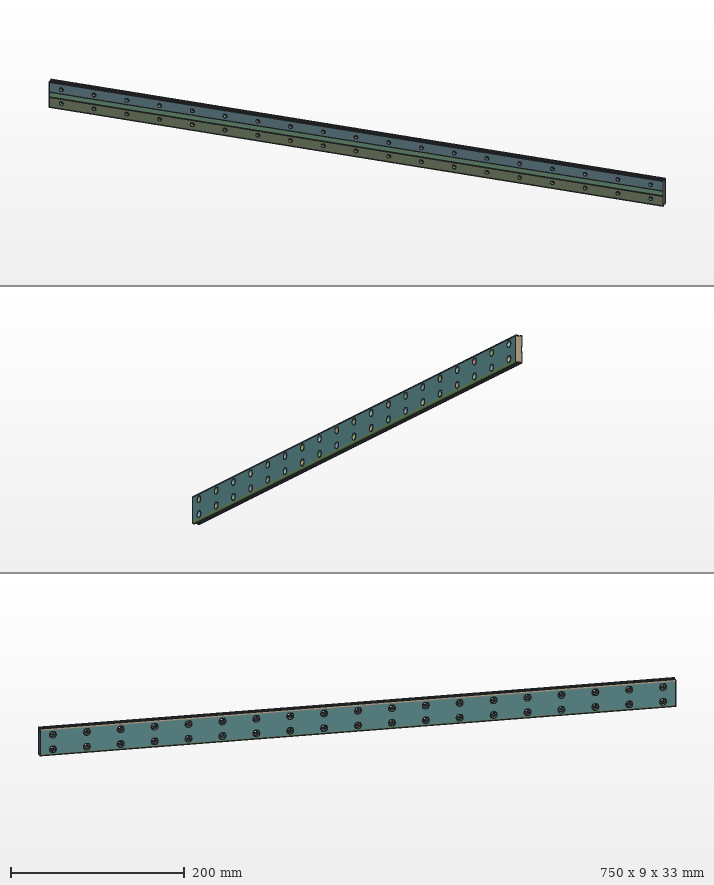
import cadquery as cq

length = 750.0
thickness = 9.0
height = 33.0

front_chamfer = 0.5
back_fillet_radius = 2.1

front_groove_width = 7.0
front_groove_depth = 0.5

edge_groove_width = 4.5
edge_groove_depth = 0.75
edge_groove_y = -0.5

hole_diameter = 4.5
hole_row_spacing = 18.0
hole_pitch = 40.0
holes_per_row = 19
counterbore_diameter = 8.0
counterbore_depth = 4.5

front_y = -thickness / 2
back_y = thickness / 2
top_z = height / 2


def bar_blank():
    """Full-length bar with chamfered front corners and rounded back corners."""
    blank = cq.Workplane("XY").box(length, thickness, height)
    blank = blank.faces("<Y").edges("|X").chamfer(front_chamfer)
    return blank.faces(">Y").edges("|X").fillet(back_fillet_radius)


def full_length_cut(outline):
    """Prism over the whole length from a closed (y, z) outline."""
    return cq.Workplane("YZ").polyline(outline).close().extrude(length / 2, both=True)


def front_groove():
    """Trapezoidal groove in the front face."""
    mouth = front_groove_width / 2
    floor = mouth - front_groove_depth
    floor_y = front_y + front_groove_depth
    return full_length_cut([(front_y, -mouth), (floor_y, -floor), (floor_y, floor), (front_y, mouth)])


def edge_groove(side):
    """Trapezoidal groove in the top (side = 1) or bottom (side = -1) edge."""
    mouth = edge_groove_width / 2
    floor = mouth - edge_groove_depth
    mouth_z = side * top_z
    floor_z = side * (top_z - edge_groove_depth)
    return full_length_cut(
        [
            (edge_groove_y - mouth, mouth_z),
            (edge_groove_y - floor, floor_z),
            (edge_groove_y + floor, floor_z),
            (edge_groove_y + mouth, mouth_z),
        ]
    )


def screw_holes():
    """Through holes with counterbores sunk from the back face."""
    centres = cq.Workplane("XZ", origin=(0, back_y, 0)).rarray(
        hole_pitch, hole_row_spacing, holes_per_row, 2
    )
    through = centres.circle(hole_diameter / 2).extrude(thickness)
    counterbores = centres.circle(counterbore_diameter / 2).extrude(counterbore_depth)
    return through.union(counterbores)


result = bar_blank().cut(front_groove())
for side in (1, -1):
    result = result.cut(edge_groove(side))
result = result.cut(screw_holes())